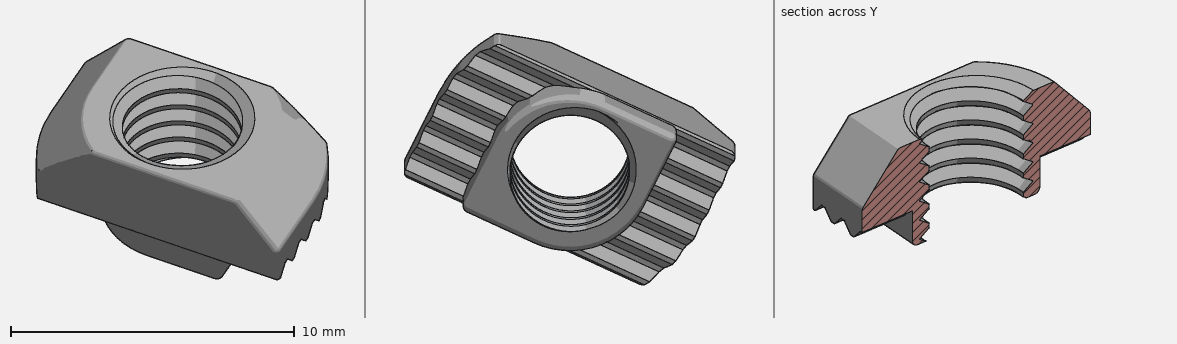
import cadquery as cq
import math

LENGTH = 10.3
WIDTH = 5.85
HEIGHT = 4.4
EDGE_RADIUS = 0.25
TOLERANCE = 0.01

COLLAR_HEIGHT = 1.1
SHOULDER_Z = 2.5
TOP_HALF_LENGTH = 3.5

COLLAR_SIZE = 5.76

TOOTH_PITCH = 1.1
TOOTH_DEPTH = 0.41
NOTCH_MOUTH = 0.92
NOTCH_ROOT = 0.2

THREAD_PITCH = 0.8
THREAD_ROOT_DIAMETER = 5.1
THREAD_CREST = THREAD_PITCH / 4
THREAD_START_ANGLE = 88
BORE_DIAMETER = 4.23
COUNTERSINK_DIAMETER = 5.12
COUNTERSINK_SLOPE = math.radians(30)
COUNTERSINK_DEPTH = (COUNTERSINK_DIAMETER - BORE_DIAMETER) / 2 * math.tan(COUNTERSINK_SLOPE)
THREAD_OVERLAP = 0.06
BORE_SEAM_ANGLE = 45


def quadrant_box(x_sign, y_sign, length, width, height):
    """Box filling one quadrant around the Z axis, standing on Z = 0."""
    return (
        cq.Workplane("XY")
        .box(length, width, height, centered=(True, True, False))
        .translate((x_sign * length / 2, y_sign * width / 2, 0))
    )


def opposite_quadrants(shape, y_sign_at_plus_x, length, width):
    """Keep only the two diagonally opposite quadrants of a shape."""
    plus_x = quadrant_box(1, y_sign_at_plus_x, length, width, HEIGHT)
    minus_x = quadrant_box(-1, -y_sign_at_plus_x, length, width, HEIGHT)
    return shape.intersect(plus_x.union(minus_x))


def is_rounded_head_edge(edge):
    """True except for the bottom rim and the tangent seams, which lie on Y = 0."""
    centre = edge.Center()
    above_rim = centre.z > COLLAR_HEIGHT + TOLERANCE
    off_seam = abs(centre.y) > TOLERANCE
    return above_rim and off_seam


def head_outline():
    """Half of the head's lengthwise section, from the Z axis outward."""
    half_length = LENGTH / 2
    return (
        cq.Workplane("XZ")
        .moveTo(0, COLLAR_HEIGHT)
        .lineTo(half_length, COLLAR_HEIGHT)
        .lineTo(half_length, SHOULDER_Z)
        .lineTo(TOP_HALF_LENGTH, HEIGHT)
        .lineTo(0, HEIGHT)
        .close()
    )


def make_head():
    """Sloped prism whose (+X, +Y) and (-X, -Y) quadrants are turned about Z, so it can twist into a slot."""
    turned = head_outline().revolve(360, (0, 0, 0), (0, 1, 0))
    half_prism = head_outline().extrude(WIDTH / 2, both=True)
    prism = half_prism.union(half_prism.mirror("YZ"))
    rounded = opposite_quadrants(turned, 1, LENGTH / 2, WIDTH / 2)
    square = opposite_quadrants(prism, -1, LENGTH / 2, WIDTH / 2)
    head = rounded.union(square)
    return head.edges().filter(is_rounded_head_edge).fillet(EDGE_RADIUS)


def make_collar():
    """Square collar with two quadrants rounded like the head, reaching up into the head."""
    half = COLLAR_SIZE / 2
    disc = cq.Workplane("XY").circle(half).extrude(SHOULDER_Z)
    block = cq.Workplane("XY").rect(COLLAR_SIZE, COLLAR_SIZE).extrude(SHOULDER_Z)
    block = block.edges("|Z").fillet(EDGE_RADIUS)
    rounded = opposite_quadrants(disc, 1, half, half)
    square = opposite_quadrants(block, -1, half, half)
    return rounded.union(square).faces("<Z").edges().fillet(EDGE_RADIUS)


def cut_serrations(head):
    """Cut trapezoid notches along the whole underside, one of them centred on Y = 0."""
    notch_count = 2 * math.ceil(WIDTH / 2 / TOOTH_PITCH) + 1
    for index in range(notch_count):
        y = (index - notch_count // 2) * TOOTH_PITCH
        notch = (
            cq.Workplane("YZ", origin=(-LENGTH / 2, y, COLLAR_HEIGHT))
            .moveTo(-NOTCH_MOUTH / 2, 0)
            .lineTo(-NOTCH_ROOT / 2, TOOTH_DEPTH)
            .lineTo(NOTCH_ROOT / 2, TOOTH_DEPTH)
            .lineTo(NOTCH_MOUTH / 2, 0)
            .close()
            .extrude(LENGTH)
        )
        head = head.cut(notch)
    return head


def turn_about_z(shape, angle):
    return shape.rotate((0, 0, 0), (0, 0, 1), angle)


def make_bore():
    """Through bore at the thread crests, with a 120 degree countersink at the top."""
    bore = cq.Workplane("XY").circle(BORE_DIAMETER / 2).extrude(HEIGHT)
    countersink = cq.Solid.makeCone(
        BORE_DIAMETER / 2,
        COUNTERSINK_DIAMETER / 2,
        COUNTERSINK_DEPTH,
        pnt=cq.Vector(0, 0, HEIGHT - COUNTERSINK_DEPTH),
    )
    return turn_about_z(bore.union(cq.Workplane(countersink)), BORE_SEAM_ANGLE)


def make_thread_groove():
    """Right-handed V groove that overruns both ends of the bore."""
    root_radius = THREAD_ROOT_DIAMETER / 2
    depth = (THREAD_ROOT_DIAMETER - BORE_DIAMETER) / 2
    inner_radius = BORE_DIAMETER / 2 - THREAD_OVERLAP
    half_mouth = (THREAD_PITCH - THREAD_CREST) / 2
    half_inner = half_mouth * (depth + THREAD_OVERLAP) / depth
    path = cq.Wire.makeHelix(THREAD_PITCH, HEIGHT + 2 * THREAD_PITCH, root_radius)
    groove = (
        cq.Workplane("XZ")
        .moveTo(inner_radius, -half_inner)
        .lineTo(root_radius, 0)
        .lineTo(inner_radius, half_inner)
        .close()
        .sweep(cq.Workplane(path), isFrenet=True)
    )
    return turn_about_z(groove, THREAD_START_ANGLE).translate((0, 0, -THREAD_PITCH))


body = cut_serrations(make_head()).union(make_collar())
result = body.cut(make_bore()).cut(make_thread_groove())